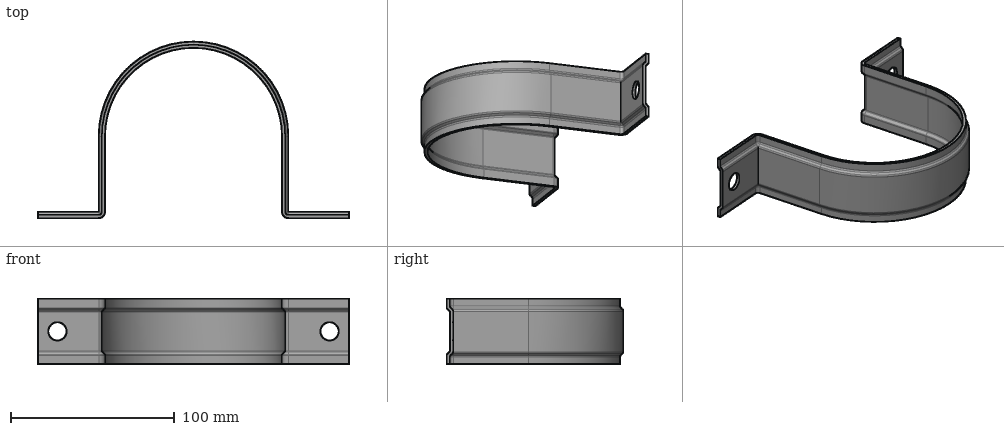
import cadquery as cq
import math

total_length = 190.0
strap_width = 40.0
profile_depth = 4.0
sheet = profile_depth / 2
joggle_step = profile_depth - sheet
arch_radius = 58.0
foot_face_y = -50.0

joggle_angle = math.radians(45)
outer_joggle_inset = 6.0
inner_joggle_inset = outer_joggle_inset + sheet * math.tan(joggle_angle / 2)
outer_bend_radius = 1.5
inner_bend_radius = 0.8

hole_diameter = 11.0
hole_end_distance = 12.0

corner_y = foot_face_y + profile_depth
leg_length = -corner_y
foot_length = total_length / 2 - arch_radius


def add_joggle(outline, middle, depth_change, z_direction, radius):
    """Draw an S-bend centred on middle, from arc start to arc end, with a straight slope between."""
    half_step = depth_change / 2
    depth_direction = math.copysign(1, depth_change)

    def arc_point(angle):
        """Depth and height gained along a bend, after turning by the angle."""
        return radius * (1 - math.cos(angle)), radius * math.sin(angle)

    bend_shift, bend_rise = arc_point(joggle_angle)
    arc_shift, arc_rise = arc_point(joggle_angle / 2)
    slope_shift = abs(half_step) - bend_shift
    slope_rise = slope_shift / math.tan(joggle_angle)
    half_height = slope_rise + bend_rise

    def at(side, shift, rise):
        """Point at the given shift and rise from the joggle end on that side of the middle."""
        return (
            middle[0] + side * depth_direction * (abs(half_step) - shift),
            middle[1] + side * z_direction * (half_height - rise),
        )

    return (
        outline
        .lineTo(*at(-1, 0, 0))
        .threePointArc(at(-1, arc_shift, arc_rise), at(-1, bend_shift, bend_rise))
        .lineTo(*at(1, bend_shift, bend_rise))
        .threePointArc(at(1, arc_shift, arc_rise), at(1, 0, 0))
    )


def strap_profile(plane, back):
    """Closed strap section; its local x runs outwards and back is the x of the middle band's back."""
    top = strap_width / 2
    outer_z = top - outer_joggle_inset
    inner_z = top - inner_joggle_inset
    rim_back = back - joggle_step
    rim_front = back - profile_depth
    outer_x = back - joggle_step / 2
    inner_x = outer_x - sheet

    outline = cq.Workplane(plane).moveTo(rim_back, top)
    outline = add_joggle(outline, (outer_x, outer_z), joggle_step, -1, outer_bend_radius)
    outline = add_joggle(outline, (outer_x, -outer_z), -joggle_step, -1, outer_bend_radius)
    outline = outline.lineTo(rim_back, -top).lineTo(rim_front, -top)
    outline = add_joggle(outline, (inner_x, -inner_z), joggle_step, 1, inner_bend_radius)
    outline = add_joggle(outline, (inner_x, inner_z), -joggle_step, 1, inner_bend_radius)
    return outline.lineTo(rim_front, top).close()


def make_arch():
    """Half ring that joins the tops of the two legs."""
    return strap_profile("XZ", arch_radius).revolve(180, (0, 0, 0), (0, 1, 0))


def make_leg():
    """Straight stretch of the right side, from the arch down to the corner."""
    return strap_profile("XZ", arch_radius).extrude(leg_length)


def make_corner():
    """Quarter turn from the right leg to the right foot, about the sharp corner."""
    plane = cq.Plane(origin=(arch_radius, corner_y, 0), xDir=(1, 0, 0), normal=(0, -1, 0))
    return strap_profile(plane, 0).revolve(90, (0, 0, 0), (0, 1, 0))


def make_foot():
    """Straight right foot with its fixing hole."""
    plane = cq.Plane(origin=(arch_radius, corner_y, 0), xDir=(0, 1, 0), normal=(1, 0, 0))
    foot = strap_profile(plane, 0).extrude(foot_length)
    hole = (
        cq.Workplane("XZ", origin=(0, corner_y, 0))
        .center(total_length / 2 - hole_end_distance, 0)
        .circle(hole_diameter / 2)
        .extrude(profile_depth)
    )
    return foot.cut(hole)


right_side = make_leg().union(make_corner()).union(make_foot())
left_side = right_side.mirror("YZ")
result = make_arch().union(right_side).union(left_side)